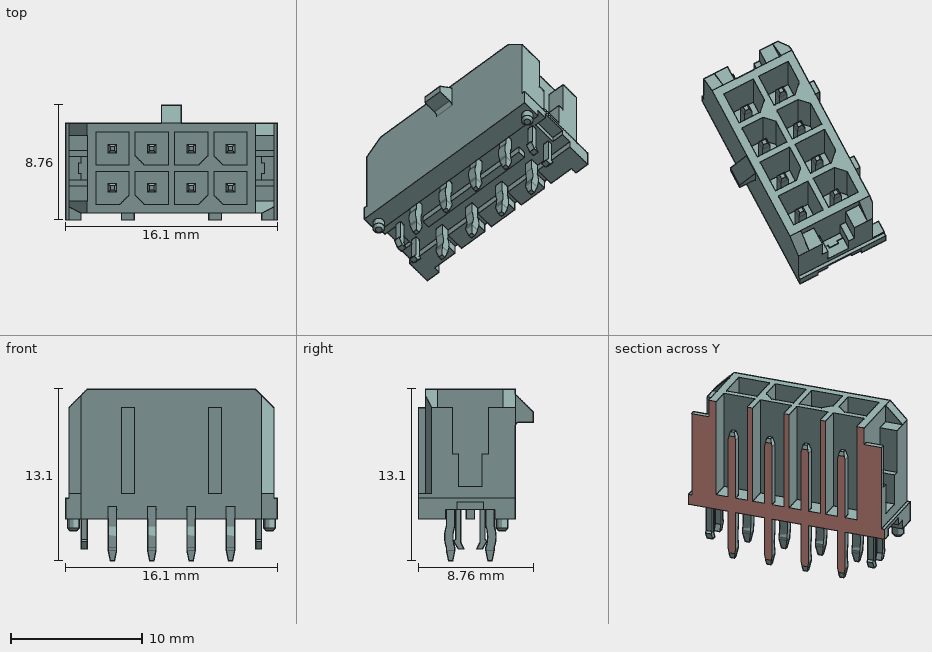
import cadquery as cq


PITCH = 3.0
COLUMNS = 4
ROW_Y = PITCH / 2
PIN_SIZE = 0.65
PIN_END_SIZE = 0.33
PIN_TOP_Z = 7.5
PIN_TOP_TAPER = 0.6
PIN_BOTTOM_Z = -3.19
PIN_TAIL_TAPER = 0.79
BEND_TOP_Z = -0.52
BEND_BOTTOM_Z = -2.18
BEND_OFFSET = 0.14

HOUSING_HALF_LENGTH = 7.82
HOUSING_HALF_WIDTH = 3.43
HOUSING_HEIGHT = 9.9
END_CHAMFER = 1.4
SHOULDER_Z = HOUSING_HEIGHT - END_CHAMFER
BEVEL_LENGTH = 0.94
BEVEL_WIDTH = 0.49
FRONT_Y = -3.95

CAVITY_SIZE = 2.54
CAVITY_FLOOR_Z = 2.0
KEY_CHAMFER = 0.72

END_WALL_X = 6.41
SHOULDER_HALF_WIDTH = 2.5
WIDE_SLOT_HALF_WIDTH = 1.37
WIDE_SLOT_Z = 4.97
NARROW_SLOT_HALF_WIDTH = 0.89
NARROW_SLOT_Z = 2.5

FLANGE_HALF_LENGTH = 8.075
FLANGE_HEIGHT = 1.6
FOOT_HEIGHT = 1.96
FOOT_INNER_X = HOUSING_HALF_LENGTH - BEVEL_LENGTH

RIB_X = 3.325
RIB_WIDTH = 1.0

LATCH_WIDTH = 1.53
LATCH_BACK_Y = 4.81
LATCH_BOTTOM_Z = 7.38
LATCH_NOSE_Z = 8.16
LATCH_ROOT_Z = 9.52
LATCH_FILLET = 0.3

CHANNEL_HALF_WIDTH = 1.86
CHANNEL_HEIGHT = 0.73
NOTCH_HEIGHT = 0.97
CENTRE_RIB_WIDTH = 0.65
CENTRE_RIB_LENGTH = (COLUMNS - 1) * PITCH + PIN_SIZE

PEG_X = 7.475
PEG_Y = 2.42
PEG_RADIUS = 0.45
PEG_TIP_RADIUS = 0.25
PEG_LENGTH = 0.9
PEG_TAPER = 0.22

LOCK_THICKNESS = 0.47
LOCK_INNER_X = END_WALL_X
LOCK_OUTER_X = LOCK_INNER_X + LOCK_THICKNESS
LOCK_RECESS_DEPTH = 0.25
LOCK_HALF_WIDTH = 1.12
LEG_INNER_Y = 0.72
LEG_KNEE_Z = -1.78
BARB_ROOT_Z = -1.54
BARB_TIP_Y = 1.27
BARB_TIP_Z = -1.69
LEG_BOTTOM_Z = -2.29
LEG_BOTTOM_INNER_Y = 0.47
LEG_BOTTOM_OUTER_Y = 0.91
LOCK_WINDOW_HALF_WIDTH = 1.0
LOCK_WINDOW_TOP_Z = 1.3
LOCK_RECESS_HALF_WIDTH = 0.39
LOCK_RECESS_OUTER_X = 7.1


def block(x0, x1, y0, y1, z0, z1):
    """Axis-aligned box between two opposite corners."""
    return cq.Workplane("XY").box(x1 - x0, y1 - y0, z1 - z0, centered=False).translate((x0, y0, z0))


def both_ends(shape):
    """The shape together with its mirror image at the other end of the part."""
    return shape.union(shape.mirror("YZ"))


def column_positions():
    return [(i - (COLUMNS - 1) / 2) * PITCH for i in range(COLUMNS)]


def housing_block():
    """Main block with sloped top ends, bevelled front corners and the base flange."""
    body = (
        cq.Workplane("XY")
        .box(2 * HOUSING_HALF_LENGTH, 2 * HOUSING_HALF_WIDTH, HOUSING_HEIGHT, centered=(True, True, False))
        .faces(">Z")
        .edges("|Y")
        .chamfer(END_CHAMFER)
    )
    corner = (
        cq.Workplane("XY", origin=(0, 0, FOOT_HEIGHT))
        .moveTo(HOUSING_HALF_LENGTH, -HOUSING_HALF_WIDTH)
        .lineTo(HOUSING_HALF_LENGTH, -HOUSING_HALF_WIDTH + BEVEL_WIDTH)
        .lineTo(FOOT_INNER_X, -HOUSING_HALF_WIDTH)
        .close()
        .extrude(HOUSING_HEIGHT)
    )
    flange = block(
        FOOT_INNER_X, FLANGE_HALF_LENGTH, FRONT_Y, HOUSING_HALF_WIDTH, 0, FLANGE_HEIGHT
    )
    foot = block(
        FOOT_INNER_X, HOUSING_HALF_LENGTH, FRONT_Y, -HOUSING_HALF_WIDTH + BEVEL_WIDTH, 0, FOOT_HEIGHT
    )
    return body.cut(both_ends(corner)).union(both_ends(flange)).union(both_ends(foot))


def end_slot():
    """Stepped opening in the +X end wall, with a T-shaped recess over the board lock."""
    steps = [
        (SHOULDER_HALF_WIDTH, SHOULDER_Z),
        (WIDE_SLOT_HALF_WIDTH, WIDE_SLOT_Z),
        (NARROW_SLOT_HALF_WIDTH, NARROW_SLOT_Z),
    ]
    slot = block(
        LOCK_INNER_X,
        LOCK_RECESS_OUTER_X,
        -LOCK_RECESS_HALF_WIDTH,
        LOCK_RECESS_HALF_WIDTH,
        NARROW_SLOT_Z - LOCK_RECESS_DEPTH,
        NARROW_SLOT_Z,
    )
    lock_seat = block(
        LOCK_INNER_X,
        LOCK_OUTER_X,
        -NARROW_SLOT_HALF_WIDTH,
        NARROW_SLOT_HALF_WIDTH,
        NARROW_SLOT_Z - LOCK_RECESS_DEPTH,
        NARROW_SLOT_Z,
    )
    slot = slot.union(lock_seat)
    for half_width, floor_z in steps:
        slot = slot.union(
            block(END_WALL_X, FLANGE_HALF_LENGTH, -half_width, half_width, floor_z, HOUSING_HEIGHT)
        )
    return slot


def cavity(x, y, keyed_corner):
    """Square terminal cavity; keyed_corner names the front edge to chamfer, if any."""
    depth = HOUSING_HEIGHT - CAVITY_FLOOR_Z
    pocket = cq.Workplane("XY").box(CAVITY_SIZE, CAVITY_SIZE, depth, centered=(True, True, False))
    corner_edges = {"left": "<X and <Y", "right": ">X and <Y"}
    if keyed_corner:
        pocket = pocket.edges("|Z").edges(corner_edges[keyed_corner]).chamfer(KEY_CHAMFER)
    return pocket.translate((x, y, CAVITY_FLOOR_Z))


def cavities():
    rows = [
        (ROW_Y, [None, "left", "right", "left"]),
        (-ROW_Y, ["right", "left", "right", "left"]),
    ]
    pockets = cq.Workplane("XY")
    for y, keyed_corners in rows:
        for x, keyed_corner in zip(column_positions(), keyed_corners):
            pockets = pockets.add(cavity(x, y, keyed_corner))
    return pockets.combine()


def underside_cuts():
    """Lengthwise channel, pin notches through the front wall and the board-lock windows."""
    cuts = block(
        -FLANGE_HALF_LENGTH, FLANGE_HALF_LENGTH, -CHANNEL_HALF_WIDTH, CHANNEL_HALF_WIDTH, 0, CHANNEL_HEIGHT
    )
    pin_front_y = -ROW_Y - PIN_SIZE / 2
    for x in column_positions():
        cuts = cuts.union(
            block(x - PIN_SIZE / 2, x + PIN_SIZE / 2, -HOUSING_HALF_WIDTH, pin_front_y, 0, NOTCH_HEIGHT)
        )
    window = block(
        LOCK_RECESS_OUTER_X,
        FLANGE_HALF_LENGTH,
        -LOCK_WINDOW_HALF_WIDTH,
        LOCK_WINDOW_HALF_WIDTH,
        0,
        LOCK_WINDOW_TOP_Z,
    )
    return cuts.union(both_ends(window))


def centre_rib():
    half_length = CENTRE_RIB_LENGTH / 2
    half_width = CENTRE_RIB_WIDTH / 2
    return block(-half_length, half_length, -half_width, half_width, 0, CHANNEL_HEIGHT)


def front_rib():
    return block(
        RIB_X - RIB_WIDTH / 2, RIB_X + RIB_WIDTH / 2, FRONT_Y, -HOUSING_HALF_WIDTH, FOOT_HEIGHT, SHOULDER_Z
    )


def latch():
    """Ramp on the rear wall with a rounded root below it."""
    wall_y = HOUSING_HALF_WIDTH
    return (
        cq.Workplane("YZ")
        .moveTo(wall_y, LATCH_ROOT_Z)
        .lineTo(LATCH_BACK_Y, LATCH_NOSE_Z)
        .lineTo(LATCH_BACK_Y, LATCH_BOTTOM_Z)
        .lineTo(wall_y + LATCH_FILLET, LATCH_BOTTOM_Z)
        .radiusArc((wall_y, LATCH_BOTTOM_Z - LATCH_FILLET), -LATCH_FILLET)
        .close()
        .extrude(LATCH_WIDTH / 2, both=True)
    )


def peg():
    """Round locating peg with a conical tip, under the rear of the +X flange."""
    return (
        cq.Workplane("XZ")
        .lineTo(PEG_RADIUS, 0)
        .lineTo(PEG_RADIUS, PEG_TAPER - PEG_LENGTH)
        .lineTo(PEG_TIP_RADIUS, -PEG_LENGTH)
        .lineTo(0, -PEG_LENGTH)
        .close()
        .revolve(360, (0, 0, 0), (0, 1, 0))
        .translate((PEG_X, PEG_Y, 0))
    )


def square_taper(base_z, end_z):
    """Four-sided taper from the full pin section to the blunt pin end."""
    return (
        cq.Workplane("XY", origin=(0, 0, base_z))
        .rect(PIN_SIZE, PIN_SIZE)
        .workplane(offset=end_z - base_z)
        .rect(PIN_END_SIZE, PIN_END_SIZE)
        .loft(ruled=True)
    )


def rear_pin():
    """Rear-row pin at X = 0: its tail bows outward to grip the board and ends in a taper."""
    half = PIN_SIZE / 2
    shaft_top_z = PIN_TOP_Z - PIN_TOP_TAPER
    shaft_bottom_z = PIN_BOTTOM_Z + PIN_TAIL_TAPER
    bend_middle_z = (BEND_TOP_Z + BEND_BOTTOM_Z) / 2
    shaft = (
        cq.Workplane("YZ")
        .moveTo(-half, shaft_top_z)
        .lineTo(half, shaft_top_z)
        .lineTo(half, BEND_TOP_Z)
        .threePointArc((half + BEND_OFFSET, bend_middle_z), (half, BEND_BOTTOM_Z))
        .lineTo(half, shaft_bottom_z)
        .lineTo(-half, shaft_bottom_z)
        .lineTo(-half, BEND_BOTTOM_Z)
        .threePointArc((-half + BEND_OFFSET, bend_middle_z), (-half, BEND_TOP_Z))
        .close()
        .extrude(half, both=True)
    )
    pin = shaft.union(square_taper(shaft_top_z, PIN_TOP_Z))
    pin = pin.union(square_taper(shaft_bottom_z, PIN_BOTTOM_Z))
    return pin.translate((0, ROW_Y, 0))


def board_lock():
    """Flat plate with two barbed legs, standing in the +X end wall."""
    top_z = NARROW_SLOT_Z - LOCK_RECESS_DEPTH
    plate = block(
        LOCK_INNER_X,
        LOCK_OUTER_X,
        -NARROW_SLOT_HALF_WIDTH,
        NARROW_SLOT_HALF_WIDTH,
        CHANNEL_HEIGHT,
        top_z,
    )
    leg_points = [
        (LEG_INNER_Y, LOCK_WINDOW_TOP_Z),
        (LOCK_HALF_WIDTH, LOCK_WINDOW_TOP_Z),
        (LOCK_HALF_WIDTH, BARB_ROOT_Z),
        (BARB_TIP_Y, BARB_TIP_Z),
        (LEG_BOTTOM_OUTER_Y, LEG_BOTTOM_Z),
        (LEG_BOTTOM_INNER_Y, LEG_BOTTOM_Z),
        (LEG_INNER_Y, LEG_KNEE_Z),
    ]
    leg = (
        cq.Workplane("YZ", origin=(LOCK_INNER_X, 0, 0))
        .polyline(leg_points)
        .close()
        .extrude(LOCK_THICKNESS)
    )
    return plate.union(leg).union(leg.mirror("XZ"))


housing = housing_block().cut(both_ends(end_slot())).cut(cavities()).cut(underside_cuts())
housing = housing.union(centre_rib()).union(both_ends(front_rib()))
housing = housing.union(latch()).union(both_ends(peg()))

result = housing.union(both_ends(board_lock()))
pin_pair = rear_pin().union(rear_pin().mirror("XZ"))
for column_x in column_positions():
    result = result.union(pin_pair.translate((column_x, 0, 0)))